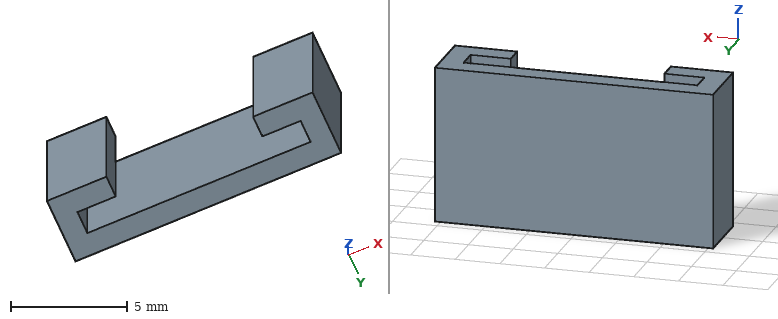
import cadquery as cq

length = 12.47
depth = 3.05
height = 7.0

wall = 1.0
lip_length = 2.79

cavity_length = length - 2 * wall
cavity_depth = depth - 2 * wall
mouth_width = length - 2 * lip_length

body = cq.Workplane("XY").box(length, depth, height)

cavity = cq.Workplane("XY").box(cavity_length, cavity_depth, height)

mouth = (
    cq.Workplane("XY")
    .box(mouth_width, depth - wall, height)
    .translate((0, -wall / 2, 0))
)

result = body.cut(cavity).cut(mouth)